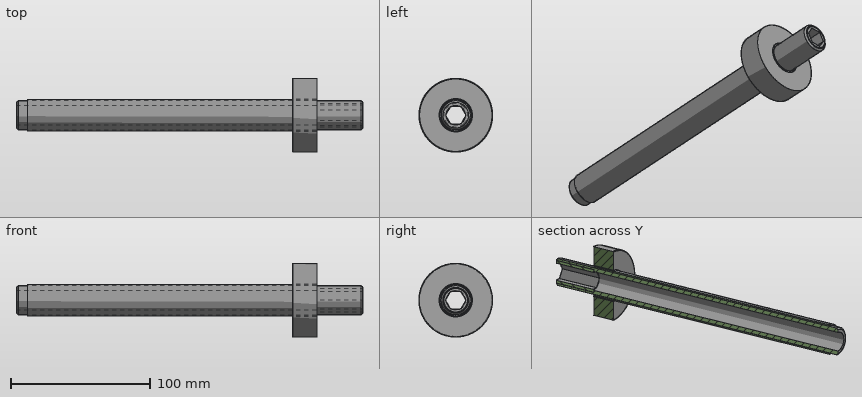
import cadquery as cq
import math

length = 248.5
shaft_radius = 10.5
shaft_bore_radius = 7.0
end_chamfer = 1.2

sleeve_start = 7.7
sleeve_radius = 11.5

collar_start = 198.0
collar_width = 18.0
collar_radius = 26.48
collar_clearance = 0.37
collar_chamfer = 0.5
collar_end = collar_start + collar_width

liner_radius = 8.5
hex_across_flats = 12.7
hex_across_corners = hex_across_flats / math.cos(math.pi / 6)


def cylinder(start, end, radius):
    """Solid cylinder along X between two stations."""
    return cq.Workplane("YZ").workplane(offset=start).circle(radius).extrude(end - start)


def make_shaft():
    outside = cylinder(0, length, shaft_radius).edges().chamfer(end_chamfer)
    liner_pocket = cylinder(collar_end, length, liner_radius)
    return outside.cut(cylinder(0, length, shaft_bore_radius)).cut(liner_pocket)


def make_sleeve():
    outside = cylinder(sleeve_start, collar_end, sleeve_radius)
    return outside.cut(cylinder(sleeve_start, collar_end, shaft_radius))


def make_collar():
    outside = cylinder(collar_start, collar_end, collar_radius).faces("<X").chamfer(collar_chamfer)
    return outside.cut(cylinder(collar_start, collar_end, sleeve_radius + collar_clearance))


def make_hex_liner():
    """Round liner with a hexagonal passage, corners pointing along Y."""
    passage = (
        cq.Workplane("YZ")
        .workplane(offset=collar_end)
        .polygon(6, hex_across_corners)
        .extrude(length - collar_end)
    )
    return cylinder(collar_end, length, liner_radius).cut(passage)


shaft = make_shaft()
sleeve = make_sleeve()
collar = make_collar()
hex_liner = make_hex_liner()

result = cq.Compound.makeCompound([shaft.val(), sleeve.val(), collar.val(), hex_liner.val()])